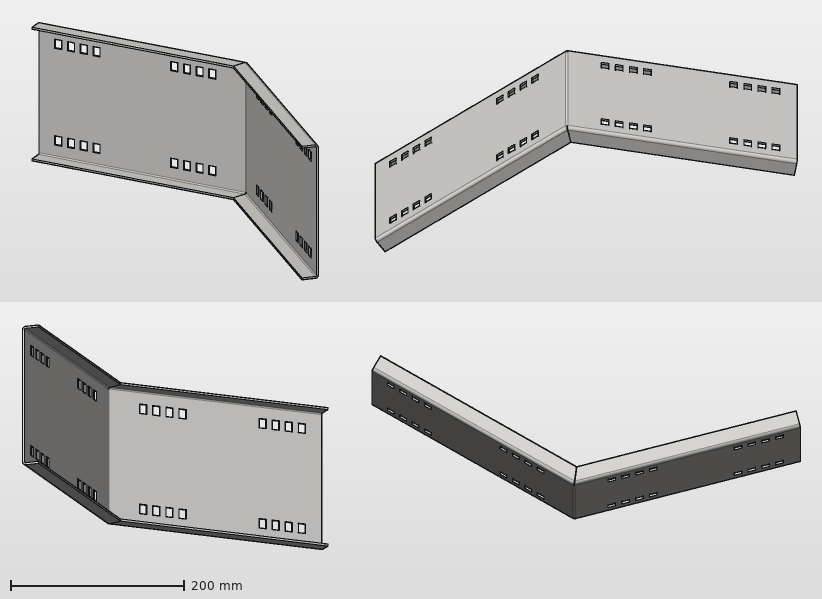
import cadquery as cq
import math

arm_length = 270.0
height = 166.0
flange_width = 20.0
thickness = 2.5
inner_radius = 1.5
turn_angle = 45.0

miter_gap = 0.25

hole_length = 9.0
hole_height = 11.2
row_spacing = 120.0
end_margin = 20.5
corner_margin = 40.5
group_length = 58.5
holes_per_group = 4

outer_radius = inner_radius + thickness
miter_slope = math.tan(math.radians(turn_angle / 2))
slit_length = 4 * flange_width
hole_pitch = (group_length - hole_length) / (holes_per_group - 1)


def bent_channel():
    """Straight channel along +X: outer web face on Y = 0, flanges toward -Y."""
    outer = (
        cq.Workplane("YZ")
        .center(-flange_width / 2, 0)
        .rect(flange_width, height)
        .extrude(arm_length)
        .edges("|X and >Y")
        .fillet(outer_radius)
    )
    inner = (
        cq.Workplane("YZ")
        .center(-flange_width / 2 - thickness, 0)
        .rect(flange_width, height - 2 * thickness)
        .extrude(arm_length)
        .edges("|X and >Y")
        .fillet(inner_radius)
    )
    return outer.cut(inner)


def miter_wedge():
    """Material to remove so that the arm ends on the bisecting plane of the corner."""
    return (
        cq.Workplane("XY")
        .polyline([(0, 0), (flange_width * miter_slope, -flange_width), (0, -flange_width)])
        .close()
        .extrude(height / 2, both=True)
    )


def web_holes():
    """Two rows of holes, each with one group near the corner and one near the end."""
    first_centers = (
        corner_margin + hole_length / 2,
        arm_length - end_margin - group_length + hole_length / 2,
    )
    centers = [
        (first + i * hole_pitch, side * row_spacing / 2)
        for first in first_centers
        for i in range(holes_per_group)
        for side in (-1, 1)
    ]
    return (
        cq.Workplane("XZ")
        .pushPoints(centers)
        .rect(hole_length, hole_height)
        .extrude(thickness)
    )


def round_corner(body):
    """Round the upright bend between the two webs, inside and outside."""
    inner_corner = (thickness * miter_slope, -thickness, 0)
    body = body.edges(cq.selectors.NearestToPointSelector(inner_corner)).fillet(inner_radius)
    return body.edges(cq.selectors.NearestToPointSelector((0, 0, 0))).fillet(outer_radius)


def miter_slits():
    """Thin slits along the bisecting plane, through the flanges and their bends only."""
    slits = cq.Workplane("XY")
    for side in (-1, 1):
        slits = slits.union(
            cq.Workplane("XY")
            .workplane(offset=side * (height / 2 - outer_radius))
            .rect(miter_gap, slit_length)
            .extrude(side * outer_radius)
        )
    return slits.rotate((0, 0, 0), (0, 0, 1), turn_angle / 2)


arm = bent_channel().cut(miter_wedge()).cut(web_holes())
turned_arm = arm.mirror("YZ").rotate((0, 0, 0), (0, 0, 1), turn_angle)

result = round_corner(arm.union(turned_arm)).cut(miter_slits())